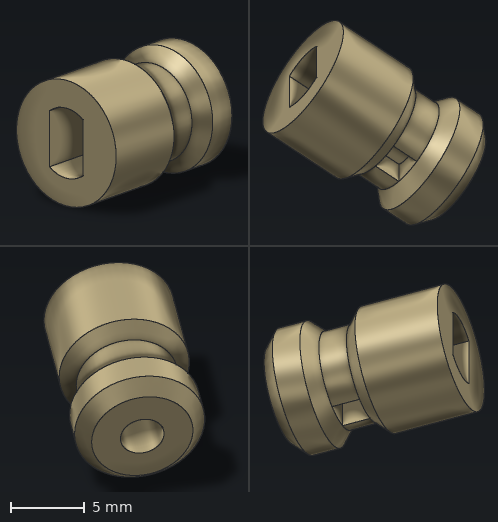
import cadquery as cq

length = 13.0
outer_diameter = 9.0
outer_radius = outer_diameter / 2

bevel = 1.0
neck_radius = outer_radius - bevel
neck_length = 2.0
collar_length = 2.0
body_length = length - neck_length - collar_length - 3 * bevel

bore_diameter = 3.0
socket_diameter = 5.0
socket_width = bore_diameter
socket_depth = body_length

window_width = neck_length
neck_middle = body_length + bevel + neck_length / 2


def turned_body():
    """Solid of revolution from a half profile of (radius, Y) points."""
    neck_front = body_length + bevel
    neck_rear = neck_front + neck_length
    collar_front = neck_rear + bevel
    profile = [
        (0, 0),
        (outer_radius, 0),
        (outer_radius, body_length),
        (neck_radius, neck_front),
        (neck_radius, neck_rear),
        (outer_radius, collar_front),
        (outer_radius, collar_front + collar_length),
        (outer_radius - bevel, length),
        (0, length),
    ]
    return cq.Workplane("XY").polyline(profile).close().revolve(360, (0, 0, 0), (0, 1, 0))


def cylinder_along_y(diameter, depth):
    """Cylinder from the front face toward +Y."""
    return cq.Workplane("XZ").circle(diameter / 2).extrude(-depth)


def socket():
    """Round socket cut down to two parallel flats."""
    flats = cq.Workplane("XZ").rect(socket_width, socket_diameter).extrude(-socket_depth)
    return cylinder_along_y(socket_diameter, socket_depth).intersect(flats)


def neck_window():
    """Window from the bore axis down through the -Z wall of the neck."""
    return (
        cq.Workplane("XY")
        .center(0, neck_middle)
        .rect(window_width, neck_length)
        .extrude(-neck_radius)
    )


result = (
    turned_body()
    .cut(socket())
    .cut(cylinder_along_y(bore_diameter, length))
    .cut(neck_window())
)